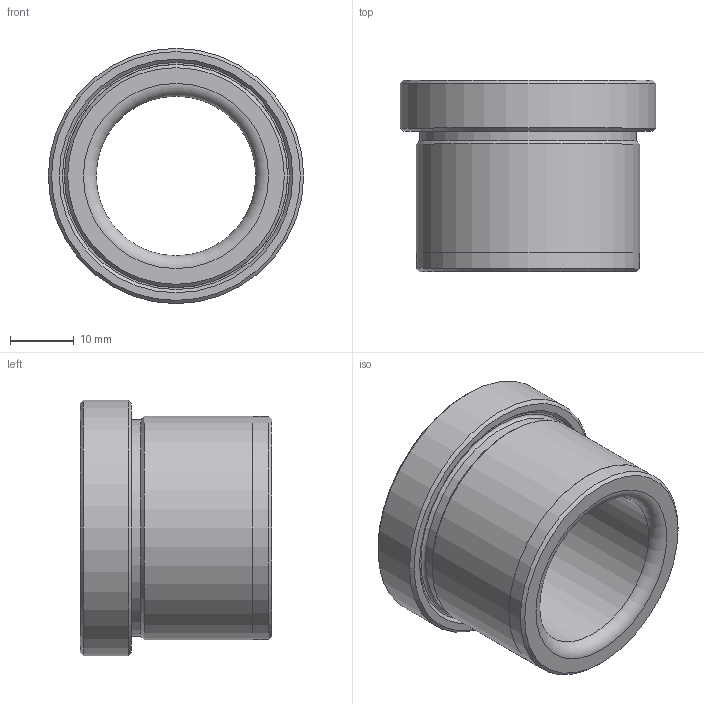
import cadquery as cq

overall_length = 30.0
flange_radius = 20.0
flange_width = 8.0
body_radius = 17.5
bore_radius = 12.5
bore_mouth_radius = 2.0
edge_chamfer = 0.5

lead_length = 3.0
lead_radius = 17.48

neck_radius = 17.0
neck_length = 1.5
relief_fillet = 0.5
undercut_radius = 18.3
undercut_depth = 0.5

free_end = -overall_length / 2
flange_back = overall_length / 2
flange_face = flange_back - flange_width
undercut_floor = flange_face + undercut_depth
neck_end = flange_face - neck_length
body_start = neck_end - (body_radius - neck_radius)
lead_start = free_end + lead_length


def bush_profile():
    """Half section of the bush: X is the radius, Y runs along the axis.

    The undercut wall and the chamfer between neck and body both slope at 45 degrees.
    """
    return (
        cq.Workplane("XY")
        .moveTo(bore_radius, flange_back)
        .lineTo(flange_radius - edge_chamfer, flange_back)
        .lineTo(flange_radius, flange_back - edge_chamfer)
        .lineTo(flange_radius, flange_face + edge_chamfer)
        .lineTo(flange_radius - edge_chamfer, flange_face)
        .lineTo(undercut_radius, flange_face)
        .lineTo(undercut_radius - undercut_depth, undercut_floor)
        .lineTo(neck_radius + relief_fillet, undercut_floor)
        .radiusArc((neck_radius, undercut_floor - relief_fillet), -relief_fillet)
        .lineTo(neck_radius, neck_end)
        .lineTo(body_radius, body_start)
        .lineTo(body_radius, lead_start)
        .lineTo(lead_radius, lead_start)
        .lineTo(lead_radius, free_end + edge_chamfer)
        .lineTo(lead_radius - edge_chamfer, free_end)
        .lineTo(bore_radius + bore_mouth_radius, free_end)
        .radiusArc((bore_radius, free_end + bore_mouth_radius), bore_mouth_radius)
        .close()
    )


result = bush_profile().revolve(360, (0, 0, 0), (0, 1, 0))